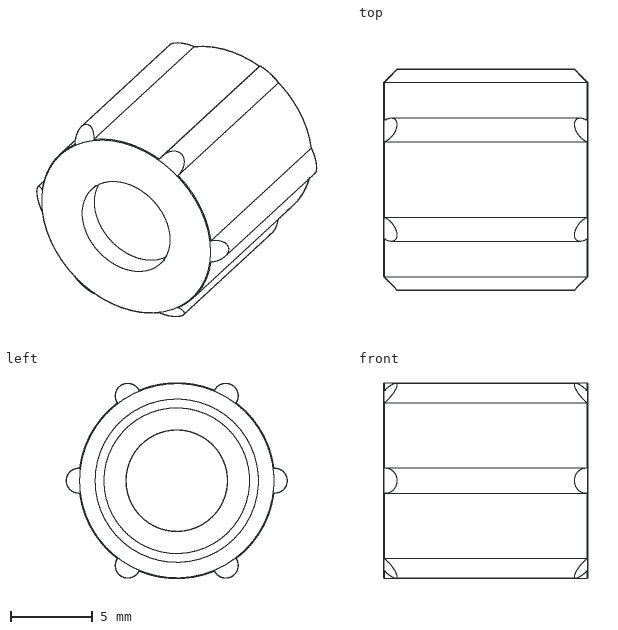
import cadquery as cq
import math

LENGTH = 12.5
BODY_RADIUS = 6.0
END_CHAMFER = 0.05
END_RADIUS = BODY_RADIUS - END_CHAMFER

RIB_COUNT = 6
RIB_RADIUS = 0.77
RIB_CENTRE_RADIUS = BODY_RADIUS
RIB_TIP_RADIUS = RIB_CENTRE_RADIUS + RIB_RADIUS

MOUTH_RADIUS = 10.0 / 2
MOUTH_DEPTH = 1.0
BORE_RADIUS = 8.92 / 2
BORE_START = MOUTH_DEPTH + MOUTH_RADIUS - BORE_RADIUS
EXIT_RADIUS = 6.2 / 2
EXIT_CHAMFER = 0.1
SEAT_RADIUS = EXIT_RADIUS + EXIT_CHAMFER
SEAT_ANGLE = 30.0
SEAT_DEPTH = (BORE_RADIUS - SEAT_RADIUS) * math.tan(math.radians(SEAT_ANGLE))
EXIT_LENGTH = 1.5
EXIT_START = LENGTH - EXIT_LENGTH
SEAT_END = EXIT_START - EXIT_CHAMFER


def revolve_about_x(profile):
    """Turn (x, radius) points into a solid of revolution about the X axis."""
    return cq.Workplane("XY").polyline(profile).close().revolve(360, (0, 0, 0), (1, 0, 0))


def make_ribbed_blank():
    """Solid cylinder with round ribs along its whole length."""
    body = cq.Workplane("YZ").circle(BODY_RADIUS).extrude(LENGTH)
    ribs = (
        cq.Workplane("YZ")
        .polarArray(RIB_CENTRE_RADIUS, 0, 360, RIB_COUNT)
        .circle(RIB_RADIUS)
        .extrude(LENGTH)
    )
    return body.union(ribs)


def make_turned_envelope():
    """Outer envelope whose 45 degree end cones trim the body and the ribs."""
    end_taper = RIB_TIP_RADIUS - END_RADIUS
    return revolve_about_x([
        (0, 0),
        (0, END_RADIUS),
        (end_taper, RIB_TIP_RADIUS),
        (LENGTH - end_taper, RIB_TIP_RADIUS),
        (LENGTH, END_RADIUS),
        (LENGTH, 0),
    ])


def make_bore():
    """Stepped through bore: mouth, shoulder, main bore, conical seat, exit hole."""
    return revolve_about_x([
        (0, 0),
        (0, MOUTH_RADIUS),
        (MOUTH_DEPTH, MOUTH_RADIUS),
        (BORE_START, BORE_RADIUS),
        (SEAT_END - SEAT_DEPTH, BORE_RADIUS),
        (SEAT_END, SEAT_RADIUS),
        (EXIT_START, EXIT_RADIUS),
        (LENGTH, EXIT_RADIUS),
        (LENGTH, 0),
    ])


result = make_ribbed_blank().intersect(make_turned_envelope()).cut(make_bore())